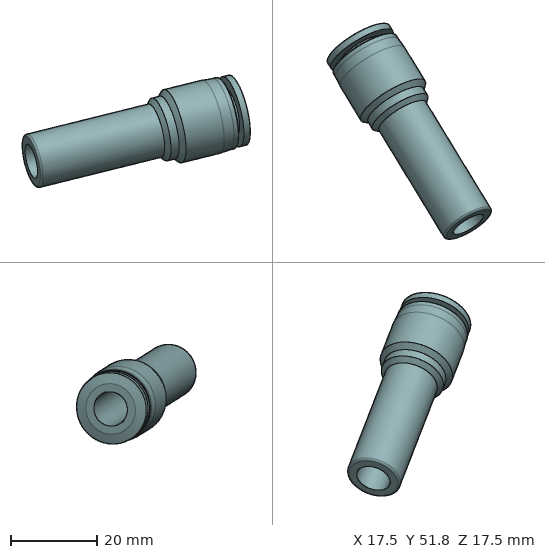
import cadquery as cq

LENGTH = 51.8

collar_face_radius = 5.95
collar_radius = 8.4
collar_crown_height = 0.6
collar_end = 2.25
neck_radius = 5.6

body_start = 3.5
body_rim_radius = 8.55
body_edge_chamfer = 0.15
rim_end = 4.7
body_radius = 8.75
taper_end = 7.25
body_end = 16.75

shoulder_radius = 7.5
shoulder_end = 20.0

stem_radius = 6.35
stem_tip_fillet = 0.5
bore_radius = 4.05

shoulder_start = body_end + body_radius - shoulder_radius
stem_start = shoulder_end + shoulder_radius - stem_radius


def revolve_about_y(profile):
    """Revolve a closed XY profile a full turn about the Y axis."""
    return profile.close().revolve(360, (0, 0, 0), (0, 1, 0))


def make_outer_shape():
    """Outer shape as (radius, distance from the collar end) steps."""
    steps = [
        (0, 0),
        (collar_face_radius, 0),
        (collar_radius, collar_crown_height),
        (collar_radius, collar_end),
        (neck_radius, collar_end),
        (neck_radius, body_start),
        (body_rim_radius - body_edge_chamfer, body_start),
        (body_rim_radius, body_start + body_edge_chamfer),
        (body_rim_radius, rim_end),
        (body_radius, taper_end),
        (body_radius, body_end),
        (shoulder_radius, shoulder_start),
        (shoulder_radius, shoulder_end),
        (stem_radius, stem_start),
        (stem_radius, LENGTH),
        (0, LENGTH),
    ]
    outline = [(radius, LENGTH / 2 - distance) for radius, distance in steps]
    return revolve_about_y(cq.Workplane("XY").polyline(outline))


outer = make_outer_shape().faces("<Y").edges().fillet(stem_tip_fillet)
bore = cq.Workplane("XZ", origin=(0, LENGTH / 2, 0)).circle(bore_radius).extrude(LENGTH)
result = outer.cut(bore)